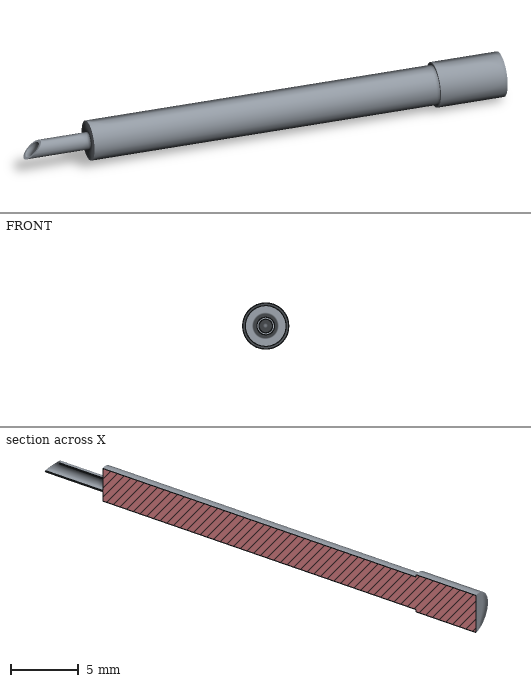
import cadquery as cq

total_length = 37.0
rear_y = total_length / 2
tip_y = -total_length / 2

sleeve_diameter = 3.4
sleeve_length = 5.18

barrel_diameter = 3.0

needle_diameter = 1.3
needle_length = 5.0
bore_diameter = 1.0
needle_base_y = tip_y + needle_length
bevel_length = needle_diameter


def rod(diameter, start_y, end_y):
    """Solid cylinder on the Y axis between two Y positions."""
    start_plane = cq.Workplane("XZ", origin=(0, start_y, 0))
    return start_plane.circle(diameter / 2).extrude(start_y - end_y)


def make_holder():
    """Barrel with the wider sleeve around its rear end."""
    sleeve = rod(sleeve_diameter, rear_y - sleeve_length, rear_y)
    barrel = rod(barrel_diameter, needle_base_y, rear_y)
    return barrel.union(sleeve)


def make_bevel_cutter():
    """Wedge above the slanted cut, wider than the needle."""
    radius = needle_diameter / 2
    return (
        cq.Workplane("YZ")
        .moveTo(tip_y, -radius)
        .lineTo(tip_y + bevel_length, radius)
        .lineTo(tip_y, radius)
        .close()
        .extrude(needle_diameter, both=True)
    )


def make_needle():
    """Bevelled tube, open at the tip and closed by the barrel at its base."""
    tube = rod(needle_diameter, tip_y, needle_base_y)
    bore = rod(bore_diameter, tip_y, needle_base_y)
    return tube.cut(bore).cut(make_bevel_cutter())


result = make_holder().union(make_needle())